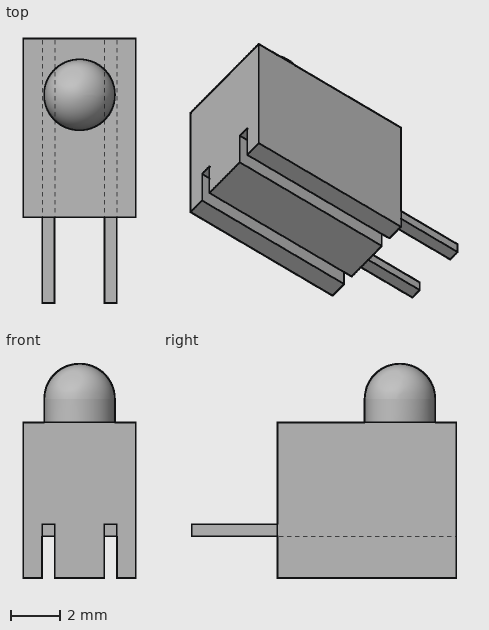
import cadquery as cq
import math

housing_width = 4.6
housing_length = 7.3
housing_height = 6.35

lens_radius = 1.45
lens_height = 2.4
lens_rear_offset = 2.3

lead_size = 0.5
lead_pitch = 2.54
lead_projection = 3.5
slot_height = 2.2

rear_y = lens_rear_offset
front_y = rear_y - housing_length
lead_tip_y = front_y - lead_projection
lead_bottom_z = slot_height - lead_size
lens_straight_height = lens_height - lens_radius


def box_between(width, y_start, y_end, z_bottom, z_top, center_x=0):
    """Box of a given width about center_x, spanning the given Y and Z ranges."""
    return (
        cq.Workplane("XY")
        .box(width, y_end - y_start, z_top - z_bottom, centered=(True, False, False))
        .translate((center_x, y_start, z_bottom))
    )


def make_lens():
    """Domed lens, revolved about the vertical axis from the housing top."""
    dome_base_z = housing_height + lens_straight_height
    dome_top_z = housing_height + lens_height
    dome_mid = lens_radius * math.cos(math.pi / 4)
    return (
        cq.Workplane("XZ")
        .moveTo(0, housing_height)
        .lineTo(lens_radius, housing_height)
        .lineTo(lens_radius, dome_base_z)
        .threePointArc((dome_mid, dome_base_z + dome_mid), (0, dome_top_z))
        .close()
        .revolve(360, (0, 0, 0), (0, 1, 0))
    )


def make_slot(center_x):
    """Slot through the full housing length, open at the bottom."""
    return box_between(lead_size, front_y, rear_y, 0, slot_height, center_x)


def make_lead(center_x):
    """Straight lead along the slot roof, projecting past the front face."""
    return box_between(lead_size, lead_tip_y, rear_y, lead_bottom_z, slot_height, center_x)


housing = box_between(housing_width, front_y, rear_y, 0, housing_height)
result = housing.union(make_lens())
for side in (-1, 1):
    lead_x = side * lead_pitch / 2
    result = result.cut(make_slot(lead_x)).union(make_lead(lead_x))